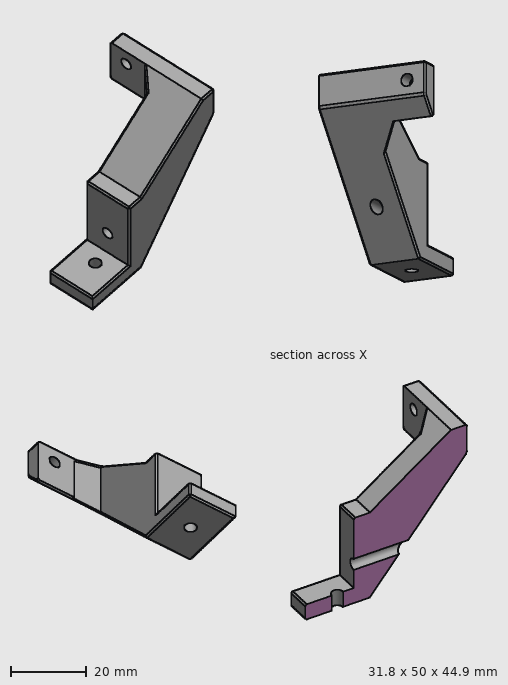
import cadquery as cq
import math

total_width = 31.8
total_depth = 50.0
total_height = 44.9

arm_width = 15.0
foot_length = 15.0
foot_thickness = 5.0
ledge_depth = 5.0
ledge_height = 27.4
underside_angle = 50.0

flange_thickness = 5.0
gusset_size = 5.0

hole_diameter = 3.4
flange_hole_x = 5.4
flange_hole_z = 40.2
column_hole_lift = 7.5
foot_hole_y = 10.0

edge_chamfer = 0.5
flange_low_chamfer = 1.15
gusset_bevel_width = 0.65
gusset_bevel_drop = 0.92

tolerance = 0.01

arm_left = total_width - arm_width
arm_middle = total_width - arm_width / 2
flange_front = total_depth - flange_thickness
gusset_front = flange_front - gusset_size
gusset_left = arm_left - gusset_size
underside_start = foot_length + ledge_depth
flange_low = (total_depth - underside_start) * math.tan(math.radians(underside_angle))
top_slope = (total_height - ledge_height) / (flange_front - underside_start)
column_hole_z = foot_thickness + column_hole_lift


def side_profile_block():
    """Side outline of the bracket, extruded over the full width."""
    outline = [
        (0, 0),
        (underside_start, 0),
        (total_depth, flange_low),
        (total_depth, total_height),
        (flange_front, total_height),
        (underside_start, ledge_height),
        (foot_length, ledge_height),
        (foot_length, foot_thickness),
        (0, foot_thickness),
    ]
    return cq.Workplane("YZ").polyline(outline).close().extrude(total_width)


def plan_profile_block():
    """Plan outline: arm on the right, flange at the back, gusset in the corner."""
    outline = [
        (arm_left, 0),
        (total_width, 0),
        (total_width, total_depth),
        (0, total_depth),
        (0, flange_front),
        (gusset_left, flange_front),
        (arm_left, gusset_front),
    ]
    return cq.Workplane("XY").polyline(outline).close().extrude(total_height)


def lies_at(edge, x=None, y=None, z=None):
    """True if the whole edge has the given coordinates."""
    box = edge.BoundingBox()
    ranges = [(x, box.xmin, box.xmax), (y, box.ymin, box.ymax), (z, box.zmin, box.zmax)]
    return all(
        abs(low - place) < tolerance and abs(high - place) < tolerance
        for place, low, high in ranges
        if place is not None
    )


def is_flange_low_front(edge):
    """The sharp edge between the flange front and the sloping underside."""
    return lies_at(edge, y=flange_front) and edge.BoundingBox().zmax < flange_low


def is_gusset_underside(edge):
    """The gusset's sloping edge along the underside."""
    box = edge.BoundingBox()
    spans_gusset = (
        abs(box.ymin - gusset_front) < tolerance
        and abs(box.ymax - flange_front) < tolerance
        and abs(box.xmin - gusset_left) < tolerance
    )
    return spans_gusset and box.zmin < ledge_height


def is_outer_edge(edge):
    """The outer edges that get the common chamfer."""
    if lies_at(edge, x=total_width):
        return not lies_at(edge, y=0)
    if lies_at(edge, x=arm_left):
        return not lies_at(edge, y=gusset_front)
    if lies_at(edge, x=0):
        return not lies_at(edge, y=flange_front)
    return (
        lies_at(edge, y=0)
        or lies_at(edge, y=foot_length, z=ledge_height)
        or lies_at(edge, y=total_depth)
        or is_gusset_underside(edge)
    )


def chamfer_where(body, is_wanted, size):
    edges = [edge for edge in body.edges().vals() if is_wanted(edge)]
    return body.newObject(edges).chamfer(size)


def gusset_top_bevel():
    """Wedge that breaks the gusset's sloping top edge, from the flange down to the arm."""
    corner = cq.Vector(gusset_left, flange_front, total_height)
    triangle = cq.Wire.makePolygon(
        [
            corner,
            corner + cq.Vector(gusset_bevel_width, 0, 0),
            corner - cq.Vector(0, 0, gusset_bevel_drop),
        ],
        close=True,
    )
    along_edge = cq.Vector(gusset_size, -gusset_size, -gusset_size * top_slope)
    return cq.Workplane(cq.Solid.extrudeLinear(triangle, [], along_edge))


def hole_along_y(x, z):
    return (
        cq.Workplane("XZ", origin=(x, 0, z))
        .circle(hole_diameter / 2)
        .extrude(-total_depth)
    )


def foot_hole():
    return (
        cq.Workplane("XY", origin=(arm_middle, foot_hole_y, 0))
        .circle(hole_diameter / 2)
        .extrude(foot_thickness)
    )


bracket = side_profile_block().intersect(plan_profile_block())
bracket = chamfer_where(bracket, is_flange_low_front, flange_low_chamfer)
bracket = chamfer_where(bracket, is_outer_edge, edge_chamfer)
bracket = bracket.cut(gusset_top_bevel())
bracket = bracket.cut(hole_along_y(flange_hole_x, flange_hole_z))
bracket = bracket.cut(hole_along_y(arm_middle, column_hole_z))
result = bracket.cut(foot_hole())